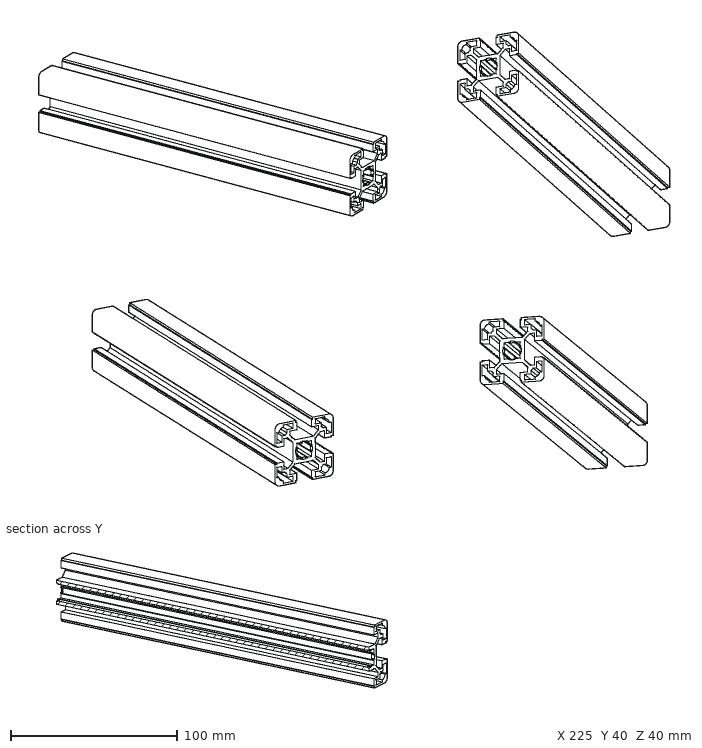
import cadquery as cq
import math

LENGTH = 225.0
SIDE = 40.0
CORNER_RADIUS = 3.2

MOUTH_WIDTH = 10.1
MOUTH_STEP_WIDTH = 0.7
MOUTH_STEP_DEPTH = 1.4
LIP_DEPTH = 6.0
CAVITY_WIDTH = 19.5
WEB_THICKNESS = 2.0

CORE_SIDE = 15.5
BORE_SIDE = 10.1
TOOTH_OFFSET = 1.8
TOOTH_HEIGHT = 0.5
NOTCH_OFFSET = 2.2
NOTCH_DEPTH = 0.5
NOTCH_END = 2.36
GROOVE_DEPTH = 0.11
ENTRY_RADIUS = 5.8
ENTRY_LENGTH = 1.5
ENTRY_WIDTH = 2.7

SKIN = 1.4
MOUTH_WALL = 2.7
ELBOW_OFFSET = 2.0
ELBOW_CHAMFER = 1.4
CORNER_WALL = 2.7
CORNER_WALL_REACH = 5.6
CORNER_ARC_RADIUS = 3.4

HALF_LENGTH = LENGTH / 2
HALF_SIDE = SIDE / 2
HALF_MOUTH = MOUTH_WIDTH / 2
HALF_CAVITY = CAVITY_WIDTH / 2
HALF_CORE = CORE_SIDE / 2
HALF_BORE = BORE_SIDE / 2
LIP_UNDERSIDE = HALF_SIDE - LIP_DEPTH
WEB_OFFSET = WEB_THICKNESS / math.sqrt(2)


def section():
    return cq.Workplane("YZ").workplane(offset=-HALF_LENGTH)


def prism(outline):
    """Extrude a YZ outline over the full length."""
    return outline.close().extrude(LENGTH)


def slot():
    """T-slot on the +Z side."""
    step_floor = HALF_SIDE - MOUTH_STEP_DEPTH
    right_half = [
        (HALF_MOUTH + MOUTH_STEP_WIDTH, HALF_SIDE),
        (HALF_MOUTH + MOUTH_STEP_WIDTH, step_floor),
        (HALF_MOUTH, step_floor),
        (HALF_MOUTH, LIP_UNDERSIDE),
        (HALF_CAVITY, LIP_UNDERSIDE),
        (HALF_CAVITY, HALF_CAVITY + WEB_OFFSET),
        (HALF_CORE - WEB_OFFSET, HALF_CORE),
    ]
    left_half = [(-y, z) for y, z in reversed(right_half)]
    return prism(section().polyline(right_half + left_half))


def chamber():
    """L-shaped hollow in the +Y +Z corner, symmetric about the diagonal."""
    outer = HALF_SIDE - SKIN
    arm_end = HALF_MOUTH + MOUTH_WALL
    arm_floor = LIP_UNDERSIDE + SKIN
    elbow = HALF_CAVITY + ELBOW_OFFSET
    thick_wall = HALF_SIDE - CORNER_WALL
    arc_start = HALF_SIDE - CORNER_WALL_REACH
    upper_arm = [
        (elbow, elbow + ELBOW_CHAMFER),
        (elbow, arm_floor),
        (arm_end, arm_floor),
        (arm_end, outer),
        (arc_start, outer),
        (arc_start, thick_wall),
    ]
    side_arm = [(z, y) for y, z in reversed(upper_arm)]
    outline = section().polyline(upper_arm).radiusArc(side_arm[0], CORNER_ARC_RADIUS)
    for point in side_arm[1:]:
        outline = outline.lineTo(*point)
    return prism(outline)


def bore():
    """Square bore with two teeth and a rounded groove between them on every wall."""
    notch = HALF_BORE + NOTCH_DEPTH
    tip = HALF_BORE - TOOTH_HEIGHT
    wall = [
        (-NOTCH_END, HALF_BORE),
        (-NOTCH_OFFSET, notch),
        (-TOOTH_OFFSET, tip),
        (0, HALF_BORE + GROOVE_DEPTH),
        (TOOTH_OFFSET, tip),
        (NOTCH_OFFSET, notch),
        (NOTCH_END, HALF_BORE),
        (HALF_BORE, HALF_BORE),
    ]
    outline = section().moveTo(-HALF_BORE, HALF_BORE)
    for _ in range(4):
        notch_start, notch_floor, first_tip, groove_floor, second_tip = wall[:5]
        outline = outline.lineTo(*notch_start).lineTo(*notch_floor).lineTo(*first_tip)
        outline = outline.threePointArc(groove_floor, second_tip)
        for point in wall[5:]:
            outline = outline.lineTo(*point)
        wall = [(z, -y) for y, z in wall]
    return prism(outline)


def groove_entries():
    """Conical lead-in at both ends, limited to the width of the grooves."""
    inner_end = ENTRY_LENGTH - HALF_LENGTH
    half_profile = [
        (-HALF_LENGTH, 0),
        (-HALF_LENGTH, ENTRY_RADIUS),
        (inner_end, HALF_BORE + GROOVE_DEPTH),
        (inner_end, 0),
    ]
    cone = cq.Workplane("XY").polyline(half_profile).close().revolve(360, (0, 0, 0), (1, 0, 0))
    upright = cq.Workplane("XY").box(LENGTH, ENTRY_WIDTH, SIDE)
    level = cq.Workplane("XY").box(LENGTH, SIDE, ENTRY_WIDTH)
    entry = cone.intersect(upright.union(level))
    return entry.union(entry.mirror("YZ"))


def on_four_sides(body):
    return [body.rotate((0, 0, 0), (1, 0, 0), 90 * turn) for turn in range(4)]


result = cq.Workplane("XY").box(LENGTH, SIDE, SIDE).edges("|X").fillet(CORNER_RADIUS)
for cutter in on_four_sides(slot()) + on_four_sides(chamber()):
    result = result.cut(cutter)
result = result.cut(bore()).cut(groove_entries())